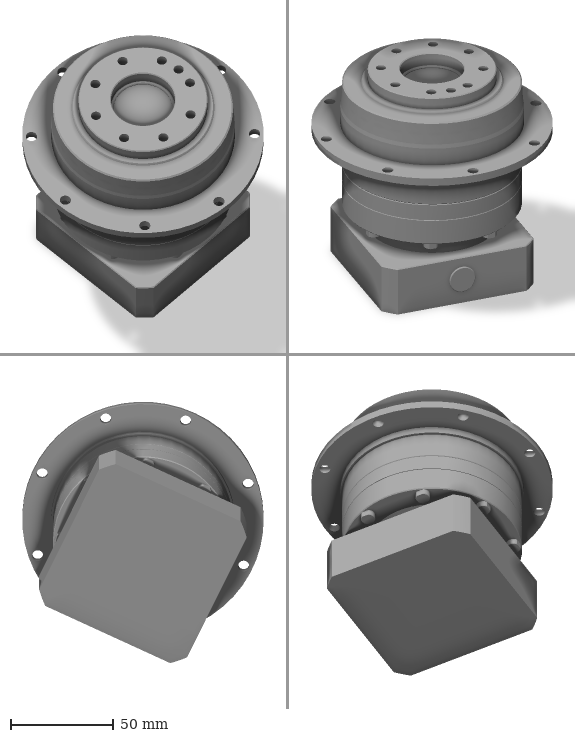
import cadquery as cq
import math

block_top = 25.0
drum_bottom = 35.8
ring_bottom = 49.1
ring_top = 57.7
collar_bottom = 72.3
flange_bottom = 76.0
flange_thickness = 4.0
flange_top = flange_bottom + flange_thickness
cone_bottom = 89.1
cone_break = 91.2
shoulder_top = 103.0
lip_top = 103.8
overall_height = 110.0

drum_radius = 44.0
collar_radius = 45.0
edge_chamfer = 0.5
groove_chamfer = 0.4

block_side = 80.0
block_corner_radius = 52.4
neck_radius = 32.5
bolt_count = 8
bolt_radius = 3.5
bolt_circle_radius = 40.0
bolt_head_height = 3.1
bolt_chamfer = 0.2
first_pattern_angle = 22.5
cap_radius = 6.7
cap_height = 0.8
cap_chamfer = 0.4
cap_centre_z = 13.1

flange_radius = 59.0
flange_hole_radius = 2.7
flange_hole_circle_radius = 54.5
flange_hole_count = 8
shifted_hole_angle = -3.0
cone_break_radius = 44.6
step_chamfer = 0.7
lip_radius = 34.9
lip_bevel = 0.7

output_radius = 31.5
output_thickness = 11.8
output_bottom = overall_height - output_thickness
output_hole_radius = 2.5
output_hole_circle_radius = 25.0
output_hole_count = 8
dowel_angle = 90.0
bore_radius = 15.7
bore_depth = 6.6
bore_chamfer = 0.5
recess_radius = 14.8
recess_chamfer = 0.5
recess_depth = 7.4
core_radius = 10.0


def cylinder(radius, bottom, top):
    """Upright cylinder on the Z axis."""
    return cq.Workplane("XY").workplane(offset=bottom).circle(radius).extrude(top - bottom)


def revolved(profile):
    """Solid of revolution about Z from (radius, height) points that start and end on the axis."""
    return cq.Workplane("XZ").polyline(profile).close().revolve(360, (0, 0), (0, 1))


def polar_points(radius, angles):
    """Points in the XY plane at the given angles in degrees."""
    return [
        (radius * math.cos(math.radians(angle)), radius * math.sin(math.radians(angle)))
        for angle in angles
    ]


def even_angles(count, start):
    """Evenly spaced angles over a full turn, in degrees."""
    return [start + index * 360 / count for index in range(count)]


def make_input_adapter():
    """Square mounting block, neck and drum with trimmed bolt heads under the drum."""
    corner_limit = cylinder(block_corner_radius, 0, block_top)
    block = cq.Workplane("XY").rect(block_side, block_side).extrude(block_top)
    block = block.intersect(corner_limit).faces(">Z").chamfer(edge_chamfer)

    neck = cylinder(neck_radius, block_top, drum_bottom)
    drum = cylinder(drum_radius, drum_bottom, ring_bottom)
    drum = drum.faces("<Z").chamfer(edge_chamfer).faces(">Z").chamfer(groove_chamfer)

    bolt_centres = polar_points(bolt_circle_radius, even_angles(bolt_count, first_pattern_angle))
    bolt_bottom = drum_bottom - bolt_head_height
    bolts = (
        cq.Workplane("XY").workplane(offset=bolt_bottom)
        .pushPoints(bolt_centres).circle(bolt_radius).extrude(bolt_head_height + edge_chamfer)
        .faces("<Z").chamfer(bolt_chamfer)
    )
    bolts = bolts.intersect(cq.Workplane("XY").rect(block_side, block_side).extrude(overall_height))

    cap = (
        cq.Workplane("XZ", origin=(0, block_side / 2, cap_centre_z))
        .circle(cap_radius).extrude(-cap_height)
        .faces(">Y").chamfer(cap_chamfer)
    )
    return block.union(neck).union(drum).union(bolts).union(cap)


def make_ring():
    """Plain ring between the drum and the housing, chamfered at its upper edge."""
    return cylinder(drum_radius, ring_bottom, ring_top).faces(">Z").chamfer(groove_chamfer)


def make_housing():
    """Stepped housing with a drilled flange, a tapered shoulder and a seat for the output flange."""
    body = revolved([
        (0, ring_top),
        (drum_radius - groove_chamfer, ring_top),
        (drum_radius, ring_top + groove_chamfer),
        (drum_radius, collar_bottom - step_chamfer),
        (drum_radius - groove_chamfer, collar_bottom),
        (collar_radius, collar_bottom),
        (collar_radius, flange_bottom),
        (flange_radius, flange_bottom),
        (flange_radius, flange_top),
        (collar_radius, flange_top),
        (collar_radius, cone_bottom),
        (cone_break_radius, cone_break),
        (drum_radius, shoulder_top - step_chamfer),
        (drum_radius - step_chamfer, shoulder_top),
        (lip_radius, shoulder_top),
        (lip_radius - lip_bevel, lip_top),
        (0, lip_top),
    ])
    hole_angles = [shifted_hole_angle] + even_angles(flange_hole_count, 0)[1:]
    holes = (
        cq.Workplane("XY").workplane(offset=flange_bottom)
        .pushPoints(polar_points(flange_hole_circle_radius, hole_angles))
        .circle(flange_hole_radius).extrude(flange_thickness)
    )
    seat = cylinder(output_radius, output_bottom, lip_top)
    return body.cut(holes).cut(seat)


def make_output_flange():
    """Output disc with a stepped centre bore, a ring of holes and one dowel hole."""
    disc = cylinder(output_radius, output_bottom, overall_height).faces(">Z").chamfer(edge_chamfer)
    ledge = overall_height - bore_depth
    floor = overall_height - recess_depth
    bore = revolved([
        (0, floor),
        (recess_radius - recess_chamfer, floor),
        (recess_radius - recess_chamfer, ledge - recess_chamfer),
        (recess_radius, ledge),
        (bore_radius, ledge),
        (bore_radius, overall_height - bore_chamfer),
        (bore_radius + bore_chamfer, overall_height),
        (0, overall_height),
    ])
    hole_angles = even_angles(output_hole_count, first_pattern_angle) + [dowel_angle]
    holes = (
        cq.Workplane("XY").workplane(offset=output_bottom)
        .pushPoints(polar_points(output_hole_circle_radius, hole_angles))
        .circle(output_hole_radius).extrude(output_thickness)
    )
    core_hole = cylinder(core_radius, output_bottom, floor)
    return disc.cut(bore).cut(holes).cut(core_hole)


def make_core():
    """Round core that fills the output flange centre, flush with the bore floor."""
    return cylinder(core_radius, output_bottom, overall_height - recess_depth)


input_adapter = make_input_adapter()
ring = make_ring()
housing = make_housing()
output_flange = make_output_flange()
core = make_core()

result = cq.Compound.makeCompound([
    input_adapter.val(),
    ring.val(),
    housing.val(),
    output_flange.val(),
    core.val(),
])